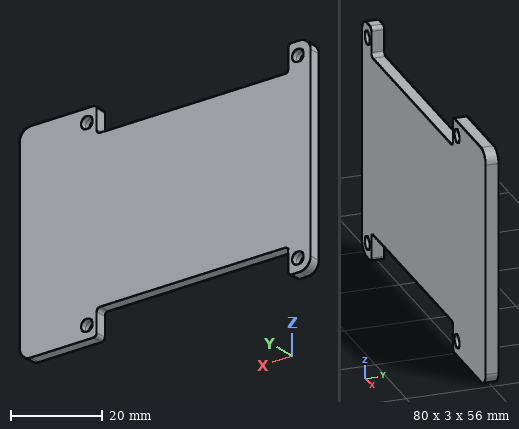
import cadquery as cq

LENGTH = 80.0
HEIGHT = 56.0
THICKNESS = 3.0
CORNER_RADIUS = 3.0

EAR_WIDTH = 6.2
NOTCH_LENGTH = 52.6
NOTCH_DEPTH = 7.0
NOTCH_RADIUS = 1.0

HOLE_DIAMETER = 3.1
HOLE_INSET = 3.5
HOLE_SPACING_X = 58.0

LEFT = -LENGTH / 2
NOTCH_CENTER_X = LEFT + EAR_WIDTH + NOTCH_LENGTH / 2
HOLE_Z = HEIGHT / 2 - HOLE_INSET


def make_plate():
    plate = cq.Workplane("XY").box(LENGTH, THICKNESS, HEIGHT)
    return plate.edges("|Y").fillet(CORNER_RADIUS)


def make_notch(side):
    """Cutter for the top (side = 1) or bottom (side = -1) notch."""
    center_z = side * (HEIGHT - NOTCH_DEPTH) / 2
    return (
        cq.Workplane("XY")
        .box(NOTCH_LENGTH, THICKNESS, NOTCH_DEPTH)
        .translate((NOTCH_CENTER_X, 0, center_z))
    )


def round_notch_corners(plate):
    """Round the inner and outer corners of both notches."""
    margin = NOTCH_RADIUS / 2
    corners = cq.selectors.BoxSelector(
        (NOTCH_CENTER_X - NOTCH_LENGTH / 2 - margin, -THICKNESS, -HEIGHT),
        (NOTCH_CENTER_X + NOTCH_LENGTH / 2 + margin, THICKNESS, HEIGHT),
    )
    return plate.edges("|Y").edges(corners).fillet(NOTCH_RADIUS)


def make_holes():
    first_x = LEFT + HOLE_INSET
    centers = [(x, z) for x in (first_x, first_x + HOLE_SPACING_X) for z in (-HOLE_Z, HOLE_Z)]
    return (
        cq.Workplane("XZ")
        .pushPoints(centers)
        .circle(HOLE_DIAMETER / 2)
        .extrude(THICKNESS, both=True)
    )


plate = make_plate()
for side in (-1, 1):
    plate = plate.cut(make_notch(side))
plate = round_notch_corners(plate)
result = plate.cut(make_holes())